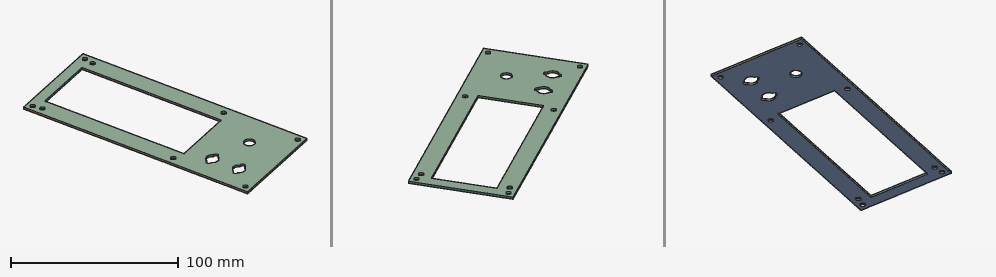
import cadquery as cq

panel_length = 159.0
panel_width = 65.0
panel_thickness = 1.55

screw_diameter = 3.2
corner_inset = 4.0

display_x = -22.9
window_length = 98.7
window_width = 40.7
display_screw_pitch_x = 93.0
display_screw_pitch_y = 55.0

control_x = 53.0
control_hole_y = 10.5
control_hole_diameter = 7.0
socket_y = -15.5
socket_pitch = 19.0
socket_diameter = 8.0
socket_key_length = 11.0
socket_key_width = 3.2


def through_cutter(sketch):
    """Extrude a closed outline through the full panel thickness."""
    return sketch.extrude(panel_thickness)


def screw_pattern(center_x, pitch_x, pitch_y):
    """Four screw holes on the corners of a rectangle."""
    return through_cutter(
        cq.Workplane("XY")
        .center(center_x, 0)
        .rect(pitch_x, pitch_y, forConstruction=True)
        .vertices()
        .circle(screw_diameter / 2)
    )


def keyed_socket(center_x):
    """Round hole with a rounded key notch at its top and bottom."""
    base = cq.Workplane("XY").center(center_x, socket_y)
    bore = through_cutter(base.circle(socket_diameter / 2))
    key = through_cutter(base.slot2D(socket_key_length, socket_key_width, 90))
    return bore.union(key)


panel = cq.Workplane("XY").rect(panel_length, panel_width).extrude(panel_thickness)

panel = panel.cut(
    screw_pattern(0, panel_length - 2 * corner_inset, panel_width - 2 * corner_inset)
)

window = through_cutter(
    cq.Workplane("XY").center(display_x, 0).rect(window_length, window_width)
)
panel = panel.cut(window)
panel = panel.cut(screw_pattern(display_x, display_screw_pitch_x, display_screw_pitch_y))

control_hole = through_cutter(
    cq.Workplane("XY").center(control_x, control_hole_y).circle(control_hole_diameter / 2)
)
panel = panel.cut(control_hole)

for side in (-1, 1):
    panel = panel.cut(keyed_socket(control_x + side * socket_pitch / 2))

result = panel